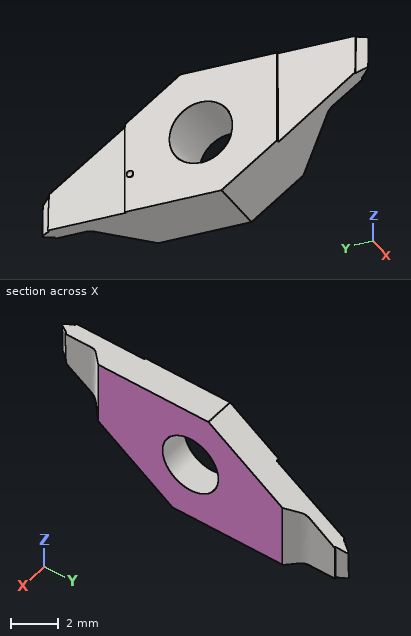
import cadquery as cq
import math

WIDTH = 3.0
LENGTH = 15.0
HEIGHT = 6.0
HOLE_DIAMETER = 2.9

CORNER_Y = 0.95
SLOPE_ANGLE = 35.0

BODY_STEP_Y = 3.5
SIDE_SETBACK = 0.075
BLADE_WIDTH = 0.775
SHOULDER_Y = 7.07
TIP_HALF_ANGLE = 30.0
TIP_RADIUS = 0.08
FLANK_END_Y = 3.34
FLANK_ANGLE = 45.0
FLANK_FILLET = 0.5
SIDE_RELIEF = 1.0
FRONT_RELIEF = 1.0

DIMPLE_Y = 3.27
DIMPLE_Z = -1.22
DIMPLE_DIAMETER = 0.3

HALF_WIDTH = WIDTH / 2
HALF_LENGTH = LENGTH / 2
HALF_HEIGHT = HEIGHT / 2


def lean_offset(run, angle):
    """Offset gained over a straight run that leans by an angle in degrees."""
    return run * math.tan(math.radians(angle))


def blade_section(depth):
    """Outline of the -Y half of the insert at a depth below its cutting edge."""
    side = lean_offset(depth, SIDE_RELIEF)
    front = lean_offset(depth, FRONT_RELIEF)
    left = -HALF_WIDTH + SIDE_SETBACK + side
    right = -HALF_WIDTH + SIDE_SETBACK + BLADE_WIDTH - side
    middle = (left + right) / 2
    shoulder = -SHOULDER_Y + front
    tip = -HALF_LENGTH + front

    half_angle = math.radians(TIP_HALF_ANGLE)
    round_half = TIP_RADIUS * math.cos(half_angle)
    round_y = tip + TIP_RADIUS * (1 - math.sin(half_angle))
    tip_half = round_half + (shoulder - round_y) * math.tan(half_angle)

    turn = math.radians(FLANK_ANGLE)
    meet_y = -FLANK_END_Y - (HALF_WIDTH - right) / math.tan(turn)
    tangent = FLANK_FILLET * math.tan(turn / 2)
    centre_x = right + FLANK_FILLET
    centre_y = meet_y - tangent
    fillet_middle = (
        centre_x - FLANK_FILLET * math.cos(turn / 2),
        centre_y + FLANK_FILLET * math.sin(turn / 2),
    )
    fillet_end = (right + tangent * math.sin(turn), meet_y + tangent * math.cos(turn))

    return (
        cq.Workplane("XY", origin=(0, 0, HALF_HEIGHT - depth))
        .moveTo(-HALF_WIDTH, 0)
        .lineTo(-HALF_WIDTH, -BODY_STEP_Y)
        .lineTo(left, -BODY_STEP_Y)
        .lineTo(left, shoulder)
        .lineTo(middle - tip_half, shoulder)
        .lineTo(middle - round_half, round_y)
        .threePointArc((middle, tip), (middle + round_half, round_y))
        .lineTo(middle + tip_half, shoulder)
        .lineTo(right, shoulder)
        .lineTo(right, centre_y)
        .threePointArc(fillet_middle, fillet_end)
        .lineTo(HALF_WIDTH, -FLANK_END_Y)
        .lineTo(HALF_WIDTH, 0)
        .close()
        .wire()
        .val()
    )


def side_block():
    """Rhomboid side shape in the YZ plane, extruded over the full width."""
    upper_edge = [
        (-HALF_LENGTH, HALF_HEIGHT),
        (CORNER_Y, HALF_HEIGHT),
        (HALF_LENGTH, HALF_HEIGHT - lean_offset(HALF_LENGTH - CORNER_Y, SLOPE_ANGLE)),
    ]
    lower_edge = [(-y, -z) for y, z in upper_edge]
    return (
        cq.Workplane("YZ", origin=(-HALF_WIDTH, 0, 0))
        .polyline(upper_edge + lower_edge)
        .close()
        .extrude(WIDTH)
    )


def mounting_hole():
    """Plain bore through the full width."""
    return (
        cq.Workplane("YZ", origin=(-HALF_WIDTH, 0, 0))
        .circle(HOLE_DIAMETER / 2)
        .extrude(WIDTH)
    )


def marker_dimple():
    """Half ball opening at the -X side of the body."""
    radius = DIMPLE_DIAMETER / 2
    diagonal = radius * math.sqrt(0.5)
    return (
        cq.Workplane("XY", origin=(-HALF_WIDTH, DIMPLE_Y, DIMPLE_Z))
        .lineTo(0, radius)
        .threePointArc((diagonal, diagonal), (radius, 0))
        .close()
        .revolve(360, (0, 0, 0), (1, 0, 0))
    )


half = cq.Workplane(cq.Solid.makeLoft([blade_section(0), blade_section(HEIGHT)], True))
opposite_half = half.rotate((0, 0, 0), (1, 0, 0), 180)
result = half.union(opposite_half).intersect(side_block())
result = result.cut(mounting_hole()).cut(marker_dimple())